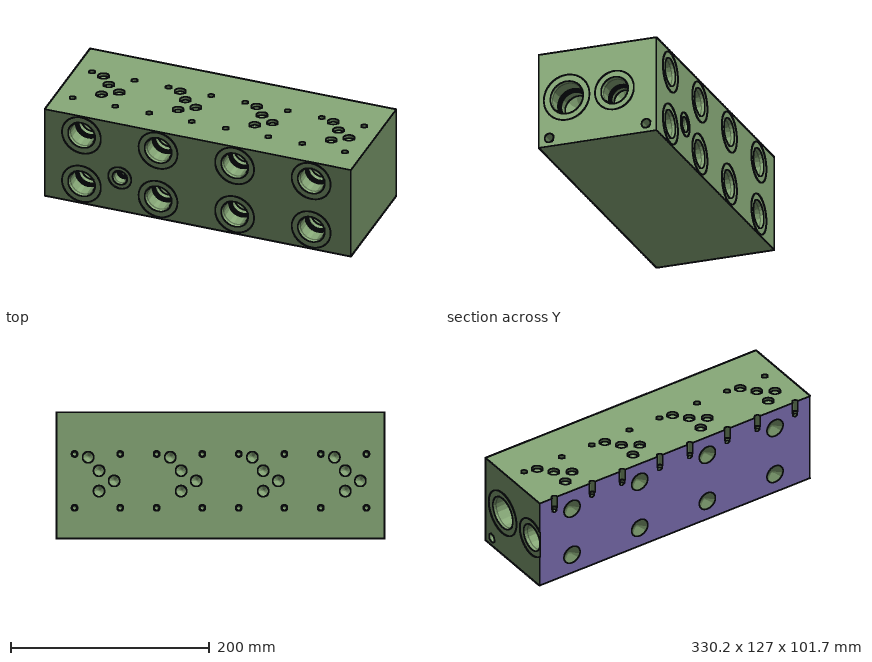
import cadquery as cq
import math

LENGTH = 330.2
DEPTH = 127.0
HEIGHT = 101.7

STATION_COUNT = 4
STATION_PITCH = LENGTH / STATION_COUNT

DRILL_POINT_ANGLE = 118.0

BOLT_SPACING_X = 46.0
BOLT_SPACING_Y = 54.0
BOLT_CENTRE_Y = -5.5
BOLT_THREAD_DIA = 6.3
BOLT_THREAD_DEPTH = 13.2
BOLT_DRILL_DIA = 5.0
BOLT_DEPTH = 16.5
PASSAGE_DIA = 11.2
PASSAGE_DEPTH = 3.5
PASSAGE_OFFSETS = [(-9.2, 23.8), (1.5, 10.2), (17.0, 0.0), (1.5, -10.2)]

PORT_MOUTH_TAPER = 15.0
SPOTFACE_DEPTH = 0.5
MEDIUM_PORT = dict(
    spotface=42.0,
    mouth=29.0,
    thread=27.0,
    bore=24.8,
    drill=23.0,
    thread_depth=19.5,
    bore_depth=22.5,
    depth=29.7,
)
LARGE_PORT = dict(
    spotface=49.2,
    mouth=35.3,
    thread=33.7,
    bore=31.5,
    drill=28.7,
    thread_depth=19.5,
    bore_depth=22.5,
    depth=33.0,
)
SMALL_PORT = dict(
    spotface=24.8,
    mouth=16.0,
    thread=14.2,
    bore=13.0,
    drill=11.2,
    thread_depth=12.0,
    bore_depth=15.0,
    depth=19.8,
)

WORK_PORT_SHIFT_X = -1.5
WORK_PORT_Z = 28.5
GAUGE_PORT_Z = -12.5
TANK_PORT_Y = 33.5
PRESSURE_PORT_Y = -18.0

END_HOLE_Y = 52.2
END_HOLE_Z = -41.5
END_HOLE_THREAD_DIA = 9.5
END_HOLE_THREAD_DEPTH = 16.5
END_HOLE_DRILL_DIA = 8.0
END_HOLE_DEPTH = 19.8


def point_length(diameter):
    """Length of the drill point left at the bottom of a blind hole."""
    return diameter / 2 / math.tan(math.radians(DRILL_POINT_ANGLE / 2))


def turned_cutter(profile, face_point, inward):
    """Revolve (radius, depth) points about an axis that enters the block at face_point."""
    outline = [(radius, -depth) for radius, depth in profile]
    cutter = cq.Workplane("XZ").polyline(outline).close().revolve(360, (0, 0), (0, 1)).val()
    plane = cq.Plane(origin=face_point, normal=tuple(-component for component in inward))
    return cutter.moved(cq.Location(plane))


def blind_hole(face_point, inward, diameter, depth):
    """Plain drilled hole with a pointed bottom."""
    profile = [(0, 0), (diameter / 2, 0), (diameter / 2, depth), (0, depth + point_length(diameter))]
    return turned_cutter(profile, face_point, inward)


def tapped_hole(face_point, inward, thread_dia, thread_depth, drill_dia, depth):
    """Drilled hole opened to the thread diameter down to thread_depth."""
    profile = [
        (0, 0),
        (thread_dia / 2, 0),
        (thread_dia / 2, thread_depth),
        (drill_dia / 2, thread_depth),
        (drill_dia / 2, depth),
        (0, depth + point_length(drill_dia)),
    ]
    return turned_cutter(profile, face_point, inward)


def port(face_point, inward, size):
    """Spotfaced port: tapered seal mouth, thread, bore and pilot drill."""
    mouth_length = (size["mouth"] - size["thread"]) / 2 / math.tan(math.radians(PORT_MOUTH_TAPER))
    mouth_end = SPOTFACE_DEPTH + mouth_length
    profile = [
        (0, 0),
        (size["spotface"] / 2, 0),
        (size["spotface"] / 2, SPOTFACE_DEPTH),
        (size["mouth"] / 2, SPOTFACE_DEPTH),
        (size["thread"] / 2, mouth_end),
        (size["thread"] / 2, size["thread_depth"]),
        (size["bore"] / 2, size["thread_depth"]),
        (size["bore"] / 2, size["bore_depth"]),
        (size["drill"] / 2, size["bore_depth"]),
        (size["drill"] / 2, size["depth"]),
        (0, size["depth"] + point_length(size["drill"])),
    ]
    return turned_cutter(profile, face_point, inward)


def top_cutters(station_x):
    """Four bolt holes and four oil passages of one valve."""
    down = (0, 0, -1)
    cutters = []
    for side_x in (-1, 1):
        for side_y in (-1, 1):
            x = station_x + side_x * BOLT_SPACING_X / 2
            y = BOLT_CENTRE_Y + side_y * BOLT_SPACING_Y / 2
            place = (x, y, HEIGHT / 2)
            cutters.append(
                tapped_hole(place, down, BOLT_THREAD_DIA, BOLT_THREAD_DEPTH, BOLT_DRILL_DIA, BOLT_DEPTH)
            )
    for offset_x, offset_y in PASSAGE_OFFSETS:
        place = (station_x + offset_x, BOLT_CENTRE_Y + offset_y, HEIGHT / 2)
        cutters.append(blind_hole(place, down, PASSAGE_DIA, PASSAGE_DEPTH))
    return cutters


def front_cutters(port_xs):
    """Upper and lower work ports, and the gauge port between the first two stations."""
    back = (0, 1, 0)
    cutters = []
    for x in port_xs:
        for z in (WORK_PORT_Z, -WORK_PORT_Z):
            cutters.append(port((x, -DEPTH / 2, z), back, MEDIUM_PORT))
    gauge_x = (port_xs[0] + port_xs[1]) / 2
    cutters.append(port((gauge_x, -DEPTH / 2, GAUGE_PORT_Z), back, SMALL_PORT))
    return cutters


def end_cutters():
    """Tank and pressure ports with two mounting holes below them."""
    along = (1, 0, 0)
    cutters = [
        port((-LENGTH / 2, TANK_PORT_Y, 0), along, LARGE_PORT),
        port((-LENGTH / 2, PRESSURE_PORT_Y, 0), along, MEDIUM_PORT),
    ]
    for y in (-END_HOLE_Y, END_HOLE_Y):
        place = (-LENGTH / 2, y, END_HOLE_Z)
        cutters.append(
            tapped_hole(
                place, along, END_HOLE_THREAD_DIA, END_HOLE_THREAD_DEPTH, END_HOLE_DRILL_DIA, END_HOLE_DEPTH
            )
        )
    return cutters


station_xs = [(i - (STATION_COUNT - 1) / 2) * STATION_PITCH for i in range(STATION_COUNT)]
work_port_xs = [x + WORK_PORT_SHIFT_X for x in station_xs]

all_cutters = front_cutters(work_port_xs) + end_cutters()
for station_x in station_xs:
    all_cutters += top_cutters(station_x)

block = cq.Workplane("XY").box(LENGTH, DEPTH, HEIGHT)
result = cq.Workplane(block.val().cut(*all_cutters))